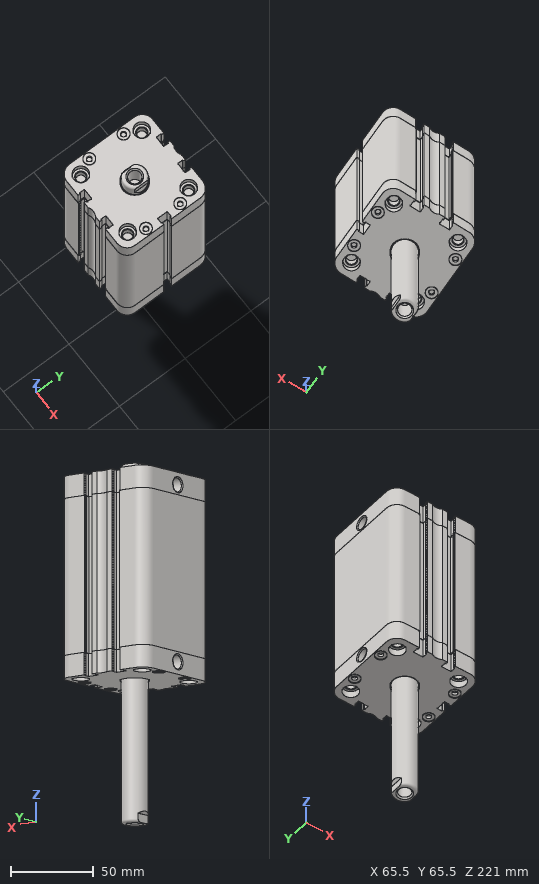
import cadquery as cq
import math


body_width = 65.5
corner_radius = 8.0
cap_height = 14.0
barrel_height = 96.5
barrel_bottom = cap_height
barrel_top = barrel_bottom + barrel_height
body_height = barrel_top + cap_height
half_width = body_width / 2

rod_diameter = 16.5
rod_top_overhang = 8.2
rod_length = 221.0
rod_top = body_height + rod_top_overhang
rod_bottom = rod_top - rod_length
rod_end_fillet = 1.5
rod_flat_distance = 13.0
rod_flat_length = 5.3
rod_bore_diameter = 8.6
rod_bore_mouth_diameter = 10.5
rod_bore_depth = 17.7

slot_neck_inner_edge = 7.62
slot_undercut = 0.7
slot_lip = 1.8
cap_slot_depth = 5.3
barrel_slot_depth = 5.0
slot_neck = 6.0
barrel_slot_neck = 5.3
barrel_slot_bevel = 0.5

groove_half_width = 3.65
groove_radius = 6.6
groove_center = half_width + math.sqrt(groove_radius**2 - groove_half_width**2)

rod_recess_diameter = 18.0
rod_recess_depth = 1.0
mount_offset = 23.2
mount_counterbore_diameter = 10.5
mount_counterbore_depth = 4.9
mount_hole_diameter = 6.6
mount_hole_mouth_diameter = 7.5
mount_hole_depth = 11.0
screw_offset_x = 28.0
screw_offset_y = 13.0
screw_recess_diameter = 7.7
screw_recess_depth = 0.7
screw_socket_diameter = 3.5
screw_socket_depth = 2.7

port_height = 7.7
port_mouth_diameter = 10.0
port_diameter = 8.6
port_depth = 6.6
port_passage_diameter = 3.5
port_passage_offset = 1.8
port_passage_depth = 4.5


def slot_cutter(neck_start, neck_width, depth, height):
    """T-slot cutter open on the +Y side, its neck running in +X from neck_start."""
    floor = half_width - depth
    neck = cq.Workplane("XY").box(neck_width, depth, height, centered=False)
    undercut = cq.Workplane("XY").box(
        neck_width + 2 * slot_undercut, depth - slot_lip, height, centered=False
    )
    return neck.union(undercut.translate((-slot_undercut, 0, 0))).translate((neck_start, floor, 0))


def profile_block(height, paired_neck_width, slot_depth):
    """Rounded square block with the slots and grooves of the extruded profile."""
    block = cq.Workplane("XY").rect(body_width, body_width).extrude(height)
    block = block.edges("|Z").fillet(corner_radius)

    slot = slot_cutter(slot_neck_inner_edge, paired_neck_width, slot_depth, height)
    groove = cq.Workplane("XY").center(0, groove_center).circle(groove_radius).extrude(height)
    side_cuts = slot.union(slot.mirror("YZ")).union(groove)
    block = block.cut(side_cuts).cut(side_cuts.mirror("XZ"))

    single_slot = slot_cutter(-slot_neck / 2, slot_neck, slot_depth, height)
    return block.cut(single_slot.rotate((0, 0, 0), (0, 0, 1), -90))


def make_barrel():
    barrel = profile_block(barrel_height, barrel_slot_neck, barrel_slot_depth)

    lip_edge = slot_neck_inner_edge + barrel_slot_neck
    bevel = (
        cq.Workplane("XY")
        .moveTo(lip_edge, half_width)
        .lineTo(lip_edge, half_width - barrel_slot_bevel)
        .lineTo(lip_edge + barrel_slot_bevel, half_width)
        .close()
        .extrude(barrel_height)
    )
    bevel_pair = bevel.union(bevel.mirror("YZ"))
    barrel = barrel.cut(bevel_pair).cut(bevel_pair.mirror("XZ"))

    barrel = barrel.faces(">Z").workplane(origin=(0, 0, 0)).hole(rod_diameter)
    return barrel.translate((0, 0, barrel_bottom))


def port_cutter(diameter, depth, z):
    """Round cutter going in from the -X side."""
    return cq.Workplane("YZ", origin=(-half_width, 0, z)).circle(diameter / 2).extrude(depth)


def make_top_cap():
    cap = profile_block(cap_height, slot_neck, cap_slot_depth)

    cap = (
        cap.faces(">Z").workplane(origin=(0, 0, 0))
        .cboreHole(rod_diameter, rod_recess_diameter, rod_recess_depth)
    )

    cap = (
        cap.faces(">Z").workplane(origin=(0, 0, 0))
        .rect(2 * mount_offset, 2 * mount_offset, forConstruction=True).vertices()
        .cboreHole(mount_hole_diameter, mount_counterbore_diameter, mount_counterbore_depth, mount_hole_depth)
    )

    hole_chamfer = (mount_hole_mouth_diameter - mount_hole_diameter) / 2
    hole_mouth = cq.Solid.makeCone(
        mount_hole_diameter / 2, mount_hole_mouth_diameter / 2, hole_chamfer
    ).translate(cq.Vector(0, 0, cap_height - mount_counterbore_depth - hole_chamfer))
    for x in (-mount_offset, mount_offset):
        for y in (-mount_offset, mount_offset):
            cap = cap.cut(cq.Workplane(hole_mouth.translate(cq.Vector(x, y, 0))))

    cap = (
        cap.faces(">Z").workplane(origin=(0, 0, 0))
        .rect(2 * screw_offset_x, 2 * screw_offset_y, forConstruction=True).vertices()
        .cboreHole(screw_socket_diameter, screw_recess_diameter, screw_recess_depth, screw_socket_depth)
    )

    port_z = cap_height - port_height
    port_chamfer = (port_mouth_diameter - port_diameter) / 2
    port = port_cutter(port_diameter, port_depth, port_z)
    port_mouth = (
        cq.Workplane("YZ", origin=(-half_width, 0, port_z)).circle(port_mouth_diameter / 2)
        .workplane(offset=port_chamfer).circle(port_diameter / 2).loft()
    )
    passage_end = port_depth + port_passage_depth
    passage = port_cutter(port_passage_diameter, passage_end, port_z - port_passage_offset)
    cap = cap.cut(port).cut(port_mouth).cut(passage)
    return cap.translate((0, 0, barrel_top))


def make_bottom_cap(top_cap):
    """The bottom cap mirrors the top cap about the middle of the body."""
    return top_cap.mirror("XY", (0, 0, body_height / 2))


def make_rod():
    rod = cq.Workplane("XY", origin=(0, 0, rod_bottom)).circle(rod_diameter / 2).extrude(rod_length)
    rod = rod.faces("<Z or >Z").fillet(rod_end_fillet)

    half_flat = rod_flat_distance / 2
    run_out = rod_diameter / 2 - half_flat
    flat = (
        cq.Workplane("XZ")
        .moveTo(half_flat, rod_top)
        .lineTo(half_flat, rod_top - rod_flat_length)
        .lineTo(half_flat + run_out, rod_top - rod_flat_length - run_out)
        .lineTo(half_flat + run_out, rod_top)
        .close()
        .extrude(rod_diameter / 2, both=True)
    )
    mouth_depth = (rod_bore_mouth_diameter - rod_bore_diameter) / 2
    bore = (
        cq.Workplane("XZ")
        .moveTo(0, rod_top)
        .lineTo(rod_bore_mouth_diameter / 2, rod_top)
        .lineTo(rod_bore_diameter / 2, rod_top - mouth_depth)
        .lineTo(rod_bore_diameter / 2, rod_top - rod_bore_depth)
        .lineTo(0, rod_top - rod_bore_depth)
        .close()
        .revolve(360, (0, 0, 0), (0, 1, 0))
    )
    end_cuts = flat.union(flat.mirror("YZ")).union(bore)
    rod_middle = (rod_top + rod_bottom) / 2
    return rod.cut(end_cuts).cut(end_cuts.mirror("XY", (0, 0, rod_middle)))


barrel = make_barrel()
top_cap = make_top_cap()
bottom_cap = make_bottom_cap(top_cap)
rod = make_rod()

result = cq.Compound.makeCompound([barrel.val(), top_cap.val(), bottom_cap.val(), rod.val()])